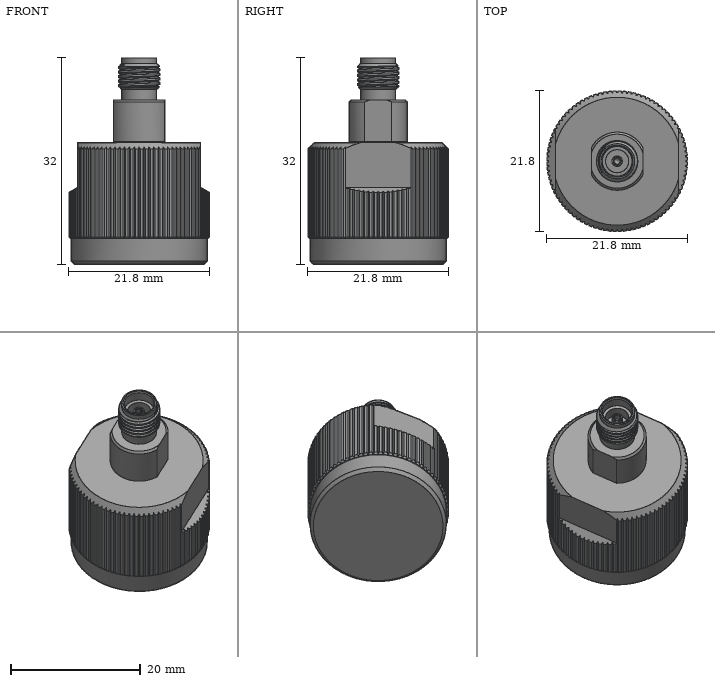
import cadquery as cq
import math

total_height = 31.98

nut_radius = 10.9
nut_base_z = 4.0
nut_top_z = 18.87
nut_top_chamfer = 1.0
groove_count = 88
groove_depth = 0.3
groove_width = 0.35
groove_root_radius = nut_radius - groove_depth
nut_flat_half_width = 9.53
nut_flat_base_z = 11.93
flat_shoulder_slope = 30.0

skirt_radius = 10.55
skirt_chamfer = 0.5

spacer_radius = 3.52
collar_radius = 4.5
collar_base_z = 19.03
collar_top_z = 25.5
collar_chamfer = 0.32
collar_flat_half_width = 4.0

neck_radius = 2.72
thread_radius = 3.2
thread_base_z = 27.1
thread_top_z = 31.15
thread_pitch = 0.7
thread_depth = 0.38
thread_groove_width = 0.4
thread_start_z = 27.0
thread_turns = 5.6

mouth_radius = 2.48
socket_radius = 2.3
ledge_z = 30.13
inner_bore_radius = 1.8
inner_bore_floor_z = 28.15
pin_radius = 0.8
pin_hole_radius = 0.48
pin_hole_mouth_radius = 0.58
pin_hole_depth = 0.95
pin_hole_tip_angle = 118.0
pin_slit_width = 0.13


def make_knurled_nut():
    """Chamfered sleeve whose rim is a ring of vertical V grooves."""
    pitch_angle = 2 * math.pi / groove_count
    groove_half_angle = math.asin(groove_width / 2 / nut_radius)

    def rim_point(radius, angle):
        return (radius * math.cos(angle), radius * math.sin(angle))

    outline = cq.Workplane("XY").workplane(offset=nut_base_z)
    outline = outline.moveTo(*rim_point(nut_radius, -groove_half_angle))
    for index in range(groove_count):
        groove_angle = index * pitch_angle
        crest_start = groove_angle + groove_half_angle
        crest_middle = groove_angle + pitch_angle / 2
        crest_end = groove_angle + pitch_angle - groove_half_angle
        outline = outline.lineTo(*rim_point(groove_root_radius, groove_angle))
        outline = outline.lineTo(*rim_point(nut_radius, crest_start))
        outline = outline.threePointArc(
            rim_point(nut_radius, crest_middle), rim_point(nut_radius, crest_end)
        )
    knurled = outline.close().extrude(nut_top_z - nut_base_z)

    envelope = (
        cq.Workplane("XZ")
        .moveTo(0, nut_base_z)
        .lineTo(groove_root_radius, nut_base_z)
        .lineTo(nut_radius, nut_base_z + groove_depth)
        .lineTo(nut_radius, nut_top_z - nut_top_chamfer)
        .lineTo(nut_radius - nut_top_chamfer, nut_top_z)
        .lineTo(0, nut_top_z)
        .close()
        .revolve(360, (0, 0), (0, 1))
    )
    return knurled.intersect(envelope)


def make_nut_flat_cutter():
    """Removes one upper side of the nut, leaving a shoulder that slopes outward."""
    reach = nut_radius + 0.32
    drop = (reach - nut_flat_half_width) * math.tan(math.radians(flat_shoulder_slope))
    return (
        cq.Workplane("XZ")
        .moveTo(nut_flat_half_width, nut_flat_base_z)
        .lineTo(reach, nut_flat_base_z - drop)
        .lineTo(reach, nut_top_z)
        .lineTo(nut_flat_half_width, nut_top_z)
        .close()
        .extrude(nut_radius, both=True)
    )


def make_skirt():
    skirt = cq.Workplane("XY").circle(skirt_radius).extrude(nut_base_z)
    return skirt.faces("<Z").chamfer(skirt_chamfer)


def make_collar():
    """Round collar, chamfered on top, with two flats across X, on a thin spacer."""
    collar = (
        cq.Workplane("XY")
        .workplane(offset=collar_base_z)
        .circle(collar_radius)
        .extrude(collar_top_z - collar_base_z)
        .faces(">Z")
        .chamfer(collar_chamfer)
    )
    flats = cq.Workplane("XY").box(
        2 * collar_flat_half_width, 2 * collar_radius, total_height, centered=(True, True, False)
    )
    spacer = (
        cq.Workplane("XY")
        .workplane(offset=nut_top_z)
        .circle(spacer_radius)
        .extrude(collar_base_z - nut_top_z)
    )
    return collar.intersect(flats).union(spacer)


def make_jack():
    """Neck and lip of one diameter with a 45-degree-ended right-hand thread between."""
    thread_height = thread_radius - neck_radius
    jack = (
        cq.Workplane("XZ")
        .moveTo(0, collar_top_z)
        .lineTo(neck_radius, collar_top_z)
        .lineTo(neck_radius, thread_base_z)
        .lineTo(thread_radius, thread_base_z + thread_height)
        .lineTo(thread_radius, thread_top_z - thread_height)
        .lineTo(neck_radius, thread_top_z)
        .lineTo(neck_radius, total_height)
        .lineTo(0, total_height)
        .close()
        .revolve(360, (0, 0), (0, 1))
    )

    overlap = 0.15
    root_radius = thread_radius - thread_depth
    tool_radius = thread_radius + overlap
    tool_half_width = thread_groove_width / 2 * (thread_depth + overlap) / thread_depth
    helix = cq.Wire.makeHelix(
        thread_pitch, thread_turns * thread_pitch, thread_radius, cq.Vector(0, 0, thread_start_z)
    )
    groove = (
        cq.Workplane("XZ")
        .moveTo(root_radius, thread_start_z)
        .lineTo(tool_radius, thread_start_z - tool_half_width)
        .lineTo(tool_radius, thread_start_z + tool_half_width)
        .close()
        .sweep(cq.Workplane("XY").add(helix), isFrenet=True)
    )
    return jack.cut(groove)


def make_socket_cutter():
    """Stepped bore with a chamfered mouth, around a drilled centre pin."""
    mouth_chamfer = mouth_radius - socket_radius
    hole_chamfer = pin_hole_mouth_radius - pin_hole_radius
    hole_floor_z = ledge_z - pin_hole_depth
    hole_tip_z = hole_floor_z - pin_hole_radius / math.tan(math.radians(pin_hole_tip_angle / 2))
    return (
        cq.Workplane("XZ")
        .moveTo(0, hole_tip_z)
        .lineTo(pin_hole_radius, hole_floor_z)
        .lineTo(pin_hole_radius, ledge_z - hole_chamfer)
        .lineTo(pin_hole_mouth_radius, ledge_z)
        .lineTo(pin_radius, ledge_z)
        .lineTo(pin_radius, inner_bore_floor_z)
        .lineTo(inner_bore_radius, inner_bore_floor_z)
        .lineTo(inner_bore_radius, ledge_z)
        .lineTo(socket_radius, ledge_z)
        .lineTo(socket_radius, total_height - mouth_chamfer)
        .lineTo(mouth_radius, total_height)
        .lineTo(0, total_height)
        .close()
        .revolve(360, (0, 0), (0, 1))
    )


def make_pin_slit_cutter():
    """Slit along Y across the pin, as deep as the straight part of its hole."""
    return (
        cq.Workplane("XY")
        .workplane(offset=ledge_z - pin_hole_depth)
        .rect(pin_slit_width, 2 * pin_radius)
        .extrude(pin_hole_depth)
    )


nut_flat_cutter = make_nut_flat_cutter()
nut = make_knurled_nut().cut(nut_flat_cutter).cut(nut_flat_cutter.mirror("YZ"))
jack = make_jack().cut(make_socket_cutter()).cut(make_pin_slit_cutter())
result = make_skirt().union(nut).union(make_collar()).union(jack)